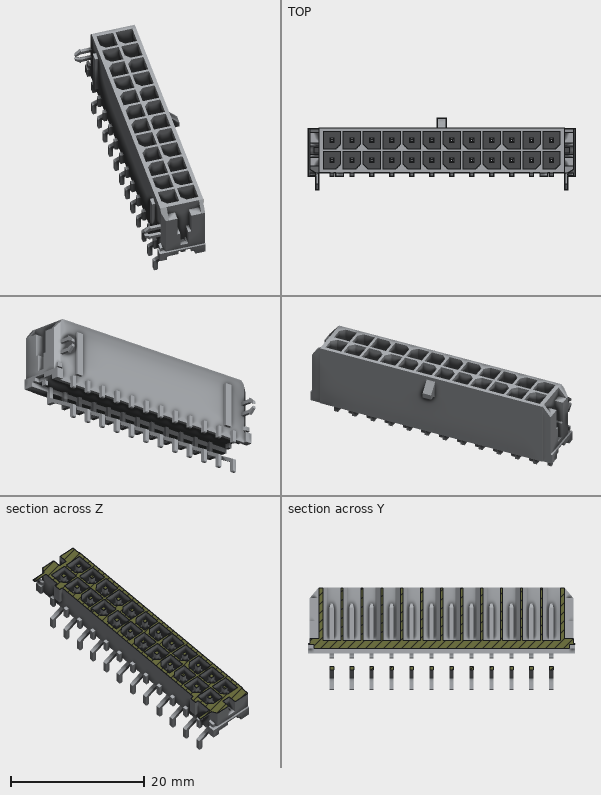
import cadquery as cq


TOTAL_LENGTH = 40.15
TOTAL_DEPTH = 10.77
TOTAL_HEIGHT = 15.4

COLUMNS = 12
PITCH = 3.0
PIN_SIZE = 0.64
PIN_TIP_SIZE = 0.3
PIN_TIP_LENGTH = 0.6
PIN_TOP = 7.5
CONTACT_ROOT = 1.58
FRONT_ROW_Y = 1.88
REAR_ROW_Y = FRONT_ROW_Y + PITCH

HEIGHT = 9.92
DEPTH = 6.77
CORE_HALF_LENGTH = 18.46
CHANNEL_TOP = 0.72
CHANNEL_FRONT = 0.6
CHANNEL_REAR = 5.0

POCKET_WIDTH = 2.6
POCKET_CHAMFER = 0.72
POCKET_FLOOR = 2.0
FRONT_ROW_KEYS = "RRLRLLLRLLRR"
REAR_ROW_KEYS = "RRLRLLLLRLRR"

END_HALF_LENGTH = 19.8
END_REAR = 6.65
END_SHOULDER = 8.33
END_RIB_FRONT_DEPTH = 1.0
END_RIB_REAR_DEPTH = 0.72
END_EDGE_CHAMFER_X = 0.86
END_EDGE_CHAMFER_Y = 0.5

SLOT_CENTRE_Y = 3.39
SLOT_WIDTH = 2.16
SLOT_FLOOR = 4.85
LOWER_SLOT_WIDTH = 1.24
LOWER_SLOT_FLOOR = 2.3

BASE_HALF_LENGTH = TOTAL_LENGTH / 2
BASE_INNER = 18.94
BASE_TOP = 1.58
STANDOFF = 0.53
BASE_RECESS_WIDTH = 1.97
BASE_RECESS_TOP = 1.32
BASE_RECESS_DEPTH = 0.85

PEG_INNER = 18.66
PEG_BOTTOM = 1.87
PEG_TOP = 2.53
PEG_FRONT = -0.4

RIB_CENTRE_X = 15.35
RIB_WIDTH = 1.18
RIB_BOTTOM = BASE_TOP

LATCH_WIDTH = 1.4
LATCH_REACH = 8.22
LATCH_TOP = 9.36
LATCH_NOSE_TOP = 7.76
LATCH_NOSE_BOTTOM = 7.0
LATCH_FLAT_END = 7.45
LATCH_BOTTOM = 6.6

CLIP_INNER = 18.45
CLIP_THICKNESS = 0.5
CLIP_AXIS_Z = 5.31
PRONG_INNER = 0.59
PRONG_OUTER = 1.12
PRONG_ROOT_Y = 1.0
BARB_Y = -1.67
BARB_OUTER = 1.34
PRONG_TIP_Y = LATCH_REACH - TOTAL_DEPTH
PRONG_TIP_INNER = 0.2
PRONG_TIP_OUTER = 0.58
CLIP_TAIL_WIDTH = 0.76
CLIP_TAIL_OUTER = 19.2
CLIP_TAIL_INNER = 18.7
CLIP_SEAT_FLOOR = 2.0

TAIL_TIP_CHAMFER = 0.13
FRONT_TAIL_TOP = 1.13
FRONT_TAIL_BOTTOM = -0.73
REAR_TAIL_BOTTOM = HEIGHT - TOTAL_HEIGHT
REAR_TAIL_REAR = 5.2
REAR_TAIL_FRONT = 4.56
REAR_TAIL_KNEE_FRONT_Z = -1.06
REAR_TAIL_KNEE_REAR_Z = -1.93
REAR_TAIL_KNEE_REAR_Y = 4.06
REAR_TAIL_BEND_FRONT_Z = -3.48
REAR_TAIL_BEND_REAR_Z = -3.79


def block(x0, x1, y0, y1, z0, z1):
    """Box between the given limits on each axis."""
    return cq.Workplane("XY").box(x1 - x0, y1 - y0, z1 - z0, centered=False).translate((x0, y0, z0))


def side_profile(points, x_start, width):
    """Extrude a closed (Y, Z) outline along +X."""
    return cq.Workplane("YZ").polyline(points).close().extrude(width).translate((x_start, 0, 0))


def make_end():
    """End block, base flange and board clip at the +X end."""
    outline = [
        (CORE_HALF_LENGTH, 0),
        (END_HALF_LENGTH - END_EDGE_CHAMFER_X, 0),
        (END_HALF_LENGTH, END_EDGE_CHAMFER_Y),
        (END_HALF_LENGTH, END_REAR),
        (CORE_HALF_LENGTH, END_REAR),
    ]
    end = cq.Workplane("XY").polyline(outline).close().extrude(HEIGHT)
    slope = [
        (CORE_HALF_LENGTH, HEIGHT),
        (END_HALF_LENGTH, END_SHOULDER),
        (END_HALF_LENGTH, HEIGHT),
    ]
    end = end.cut(cq.Workplane("XZ").polyline(slope).close().extrude(-DEPTH))
    end = end.cut(block(CORE_HALF_LENGTH, END_HALF_LENGTH,
                        END_RIB_FRONT_DEPTH, DEPTH - END_RIB_REAR_DEPTH, END_SHOULDER, HEIGHT))
    for width, floor in ((SLOT_WIDTH, SLOT_FLOOR), (LOWER_SLOT_WIDTH, LOWER_SLOT_FLOOR)):
        end = end.cut(block(CORE_HALF_LENGTH, END_HALF_LENGTH,
                            SLOT_CENTRE_Y - width / 2, SLOT_CENTRE_Y + width / 2, floor, HEIGHT))
    end = end.union(block(CORE_HALF_LENGTH, BASE_HALF_LENGTH, 0, END_REAR, 0, BASE_TOP))
    end = end.union(block(BASE_INNER, BASE_HALF_LENGTH, -STANDOFF, END_EDGE_CHAMFER_Y, 0, BASE_TOP))
    end = end.cut(block(CORE_HALF_LENGTH, BASE_HALF_LENGTH, CHANNEL_FRONT, CHANNEL_REAR, 0, CHANNEL_TOP))
    end = end.cut(block(BASE_HALF_LENGTH - BASE_RECESS_DEPTH, BASE_HALF_LENGTH,
                        SLOT_CENTRE_Y - BASE_RECESS_WIDTH / 2, SLOT_CENTRE_Y + BASE_RECESS_WIDTH / 2,
                        0, BASE_RECESS_TOP))
    end = end.union(make_clip())
    return end.cut(block(CORE_HALF_LENGTH, CLIP_TAIL_OUTER,
                         SLOT_CENTRE_Y - CLIP_TAIL_WIDTH / 2, SLOT_CENTRE_Y + CLIP_TAIL_WIDTH / 2,
                         CLIP_SEAT_FLOOR, LOWER_SLOT_FLOOR))


def make_peg():
    """Front peg at the +X end; its inner side slopes back to the housing face."""
    points = [
        (PEG_INNER, 0),
        (BASE_INNER, PEG_FRONT),
        (END_HALF_LENGTH, PEG_FRONT),
        (END_HALF_LENGTH, 0),
    ]
    peg = cq.Workplane("XY").workplane(offset=PEG_BOTTOM).polyline(points).close()
    return peg.extrude(PEG_TOP - PEG_BOTTOM)


def make_clip():
    """Two barbed prongs and the square tail of the board clip at the +X end."""
    clip = block(CLIP_TAIL_INNER, CLIP_TAIL_OUTER,
                 SLOT_CENTRE_Y - CLIP_TAIL_WIDTH / 2, SLOT_CENTRE_Y + CLIP_TAIL_WIDTH / 2,
                 0, BASE_TOP)
    for side in (1, -1):
        offsets = [
            (PRONG_ROOT_Y, PRONG_INNER),
            (BARB_Y, PRONG_INNER),
            (PRONG_TIP_Y, PRONG_TIP_INNER),
            (PRONG_TIP_Y, PRONG_TIP_OUTER),
            (BARB_Y, BARB_OUTER),
            (BARB_Y, PRONG_OUTER),
            (PRONG_ROOT_Y, PRONG_OUTER),
        ]
        points = [(y, CLIP_AXIS_Z + side * offset) for y, offset in offsets]
        clip = clip.union(side_profile(points, CLIP_INNER, CLIP_THICKNESS))
    return clip


def make_core():
    """Plain housing body with the tail channel along its underside."""
    core = block(-CORE_HALF_LENGTH, CORE_HALF_LENGTH, 0, DEPTH, 0, HEIGHT)
    return core.cut(block(-CORE_HALF_LENGTH, CORE_HALF_LENGTH, CHANNEL_FRONT, CHANNEL_REAR, 0, CHANNEL_TOP))


def make_pocket(x, y, key):
    """Square cavity with one front corner cut off; key is 1 for right, -1 for left."""
    half = POCKET_WIDTH / 2
    points = [
        (x - key * half, y + half),
        (x + key * half, y + half),
        (x + key * half, y - half + POCKET_CHAMFER),
        (x + key * (half - POCKET_CHAMFER), y - half),
        (x - key * half, y - half),
    ]
    return cq.Workplane("XY").workplane(offset=POCKET_FLOOR).polyline(points).close().extrude(HEIGHT)


def make_pin(x, y):
    """Square contact rising from the pocket floor, with a tapered tip."""
    half = PIN_SIZE / 2
    shank_top = PIN_TOP - PIN_TIP_LENGTH
    shank = block(x - half, x + half, y - half, y + half, CONTACT_ROOT, shank_top)
    tip = (
        cq.Workplane("XY").workplane(offset=shank_top).center(x, y).rect(PIN_SIZE, PIN_SIZE)
        .workplane(offset=PIN_TIP_LENGTH).rect(PIN_TIP_SIZE, PIN_TIP_SIZE).loft()
    )
    return shank.union(tip)


def make_tails(x):
    """Short front tail and cranked rear tail of one column."""
    front = -STANDOFF
    rear = front + PIN_SIZE
    tip = TAIL_TIP_CHAMFER
    short_tail = [
        (rear, FRONT_TAIL_TOP),
        (front, FRONT_TAIL_TOP),
        (front, FRONT_TAIL_BOTTOM + tip),
        (front + tip, FRONT_TAIL_BOTTOM),
        (rear - tip, FRONT_TAIL_BOTTOM),
        (rear, FRONT_TAIL_BOTTOM + tip),
    ]
    long_tail = [
        (REAR_TAIL_REAR, CONTACT_ROOT),
        (REAR_TAIL_FRONT, CONTACT_ROOT),
        (REAR_TAIL_FRONT, REAR_TAIL_KNEE_FRONT_Z),
        (front, REAR_TAIL_BEND_FRONT_Z),
        (front, REAR_TAIL_BOTTOM + tip),
        (front + tip, REAR_TAIL_BOTTOM),
        (rear - tip, REAR_TAIL_BOTTOM),
        (rear, REAR_TAIL_BOTTOM + tip),
        (rear, REAR_TAIL_BEND_REAR_Z),
        (REAR_TAIL_KNEE_REAR_Y, REAR_TAIL_KNEE_REAR_Z),
        (REAR_TAIL_REAR, REAR_TAIL_KNEE_REAR_Z),
    ]
    left = x - PIN_SIZE / 2
    return side_profile(short_tail, left, PIN_SIZE).union(side_profile(long_tail, left, PIN_SIZE))


def make_latch():
    """Ramped catch at mid length of the rear face."""
    points = [
        (DEPTH, LATCH_TOP),
        (LATCH_REACH, LATCH_NOSE_TOP),
        (LATCH_REACH, LATCH_NOSE_BOTTOM),
        (LATCH_FLAT_END, LATCH_NOSE_BOTTOM),
        (DEPTH, LATCH_BOTTOM),
    ]
    return side_profile(points, -LATCH_WIDTH / 2, LATCH_WIDTH)


def make_front_rib(x):
    """Upright standoff rib on the front face."""
    return block(x - RIB_WIDTH / 2, x + RIB_WIDTH / 2, -STANDOFF, 0, RIB_BOTTOM, END_SHOULDER)


right_end = make_end().union(make_peg())
result = make_core().union(right_end).union(right_end.mirror("YZ")).union(make_latch())
for rib_x in (-RIB_CENTRE_X, RIB_CENTRE_X):
    result = result.union(make_front_rib(rib_x))

for column in range(COLUMNS):
    column_x = (column - (COLUMNS - 1) / 2) * PITCH
    for row_y, keys in ((FRONT_ROW_Y, FRONT_ROW_KEYS), (REAR_ROW_Y, REAR_ROW_KEYS)):
        corner = 1 if keys[column] == "R" else -1
        result = result.cut(make_pocket(column_x, row_y, corner))
        result = result.union(make_pin(column_x, row_y))
    result = result.union(make_tails(column_x))